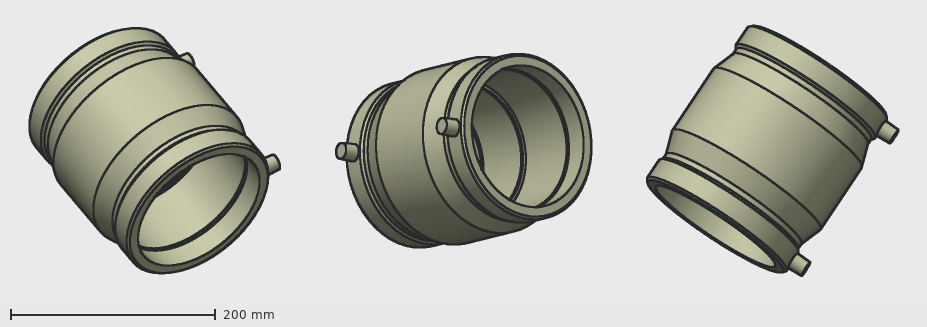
import cadquery as cq

length = 183.0
bulge_radius = 174.0 / 2
collar_radius = 163.5 / 2
neck_radius = 158.6 / 2
socket_radius = 140.0 / 2
bore_radius = 133.0 / 2
groove_depth = 0.4
groove_radius = socket_radius + groove_depth

end_chamfer = 2.4
collar_bevel = 3.0
collar_length = 26.3
neck_length = 6.0
cone_length = 22.6
stop_width = 3.0
groove_inset = 23.4
groove_width = 3.3

total_depth = 184.0
pin_tip_y = total_depth - bulge_radius
pin_tip_radius = 8.0
pin_base_radius = 8.8
pin_inset = 13.0
pin_root_y = 77.3

half_length = length / 2
collar_end = half_length - collar_length
cone_start = collar_end - neck_length
cone_end = cone_start - cone_length


def make_sleeve():
    """Revolve the outer profile, mirrored about the middle, with a plain bore."""
    right_half = [
        (cone_end, bulge_radius),
        (cone_start, neck_radius),
        (collar_end, neck_radius),
        (collar_end + collar_bevel, collar_radius),
        (half_length - end_chamfer, collar_radius),
        (half_length, collar_radius - end_chamfer),
        (half_length, bore_radius),
    ]
    left_half = [(-x, radius) for x, radius in reversed(right_half)]
    profile = cq.Workplane("XY").polyline(left_half + right_half).close()
    return profile.revolve(360, (0, 0, 0), (1, 0, 0))


def make_disc(radius, x_start, x_stop):
    """Solid cylinder about X between two stations."""
    return cq.Workplane("YZ", origin=(x_start, 0, 0)).circle(radius).extrude(x_stop - x_start)


def make_pin(side):
    """Tapered pin that narrows outward along +Y."""
    root = cq.Vector(side * (half_length - pin_inset), pin_root_y, 0)
    outward = cq.Vector(0, 1, 0)
    return cq.Solid.makeCone(pin_base_radius, pin_tip_radius, pin_tip_y - pin_root_y, root, outward)


result = make_sleeve()
stop_face = stop_width / 2
groove_outer = half_length - groove_inset
groove_inner = groove_outer - groove_width
for side in (-1, 1):
    result = result.cut(make_disc(socket_radius, side * stop_face, side * half_length))
    result = result.cut(make_disc(groove_radius, side * groove_inner, side * groove_outer))
    result = result.union(cq.Workplane(make_pin(side)))